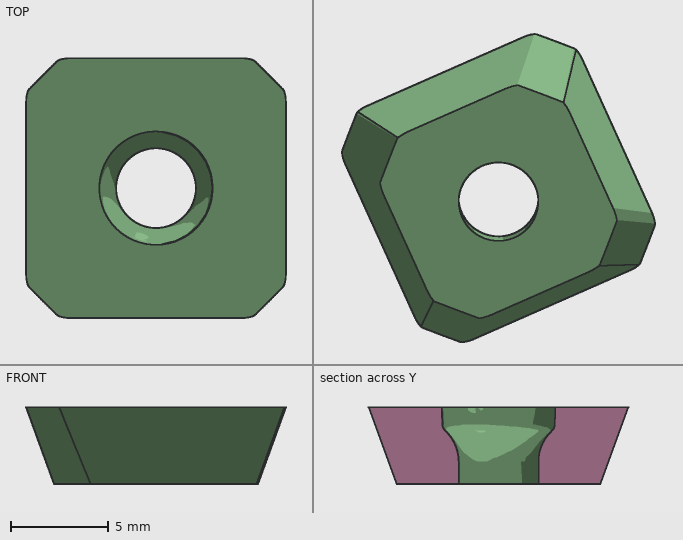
import cadquery as cq
import math

insert_width = 13.4
thickness = 3.97
side_clearance_angle = math.radians(20.0)

facet_distance_top = 8.23
facet_clearance_angle = math.radians(28.7)
facet_half_length_top = 1.03
facet_half_length_bottom = 1.22

strip_angle = math.radians(33.0)
strip_width_top = 0.12
strip_width_bottom = 0.06

blend_reach_top = 0.56
blend_reach_bottom = 0.66

facet_tilt_angle = math.radians(0.3)
wedge_width_bottom = 0.38
wedge_width_top = 0.0

hole_radius = 4.1 / 2
recess_mouth_radius = 5.85 / 2
recess_floor_radius = 5.77 / 2
recess_depth = 0.89
recess_blend_radius = 0.45
seat_radius = 2.15


def tapered_inset(angle):
    """Distance a face leaning in by this angle moves over the full thickness."""
    return thickness * math.tan(angle)


def corner_edges(
    quarter, z, half_width, facet_distance, facet_half_length, strip_width, blend_reach, wedge_width
):
    """Edges of one side and the corner after it, turned by a number of quarter turns.

    Returns the edges in order (side, arc, strip, facet half, wedge base, facet half, strip, arc);
    the wedge base is None where the wedge closes to a point.
    """
    turn_cos = math.cos(quarter * math.pi / 2)
    turn_sin = math.sin(quarter * math.pi / 2)
    diagonal = math.sqrt(2)
    facet_near = (facet_distance - facet_half_length) / diagonal
    facet_far = (facet_distance + facet_half_length) / diagonal
    strip_near = facet_near - strip_width * math.cos(strip_angle)
    strip_far = facet_far + strip_width * math.sin(strip_angle)
    side_end = strip_near - blend_reach

    arc_drop = half_width - strip_far
    arc_radius = (blend_reach**2 + arc_drop**2) / (2 * arc_drop)
    mid_angle = math.asin(blend_reach / arc_radius) / 2
    arc_mid_x = half_width - arc_radius * (1 - math.cos(mid_angle))
    arc_mid_y = side_end + arc_radius * math.sin(mid_angle)

    crown = (facet_half_length - wedge_width / 2) * math.tan(facet_tilt_angle)
    wedge_far = (facet_distance + crown + wedge_width / 2) / diagonal
    wedge_near = (facet_distance + crown - wedge_width / 2) / diagonal

    def point(x, y):
        return cq.Vector(x * turn_cos - y * turn_sin, x * turn_sin + y * turn_cos, z)

    side_start = point(half_width, -side_end)
    first_arc_start = point(half_width, side_end)
    first_arc_mid = point(arc_mid_x, arc_mid_y)
    strip_start = point(strip_far, strip_near)
    facet_start = point(facet_far, facet_near)
    wedge_start = point(wedge_far, wedge_near)
    wedge_end = point(wedge_near, wedge_far)
    facet_end = point(facet_near, facet_far)
    strip_end = point(strip_near, strip_far)
    last_arc_mid = point(arc_mid_y, arc_mid_x)
    last_arc_end = point(side_end, half_width)

    wedge_base = cq.Edge.makeLine(wedge_start, wedge_end) if wedge_width > 0 else None
    return [
        cq.Edge.makeLine(side_start, first_arc_start),
        cq.Edge.makeThreePointArc(first_arc_start, first_arc_mid, strip_start),
        cq.Edge.makeLine(strip_start, facet_start),
        cq.Edge.makeLine(facet_start, wedge_start),
        wedge_base,
        cq.Edge.makeLine(wedge_end, facet_end),
        cq.Edge.makeLine(facet_end, strip_end),
        cq.Edge.makeThreePointArc(strip_end, last_arc_mid, last_arc_end),
    ]


def outline_face(edges):
    return cq.Face.makeFromWires(cq.Wire.assembleEdges(edges))


def wedge_face(base, apex):
    """Triangle from the wedge base up to its apex."""
    return cq.Face.makeFromWires(cq.Wire.makePolygon([base.startPoint(), base.endPoint(), apex], close=True))


def make_body():
    bottom_half_width = insert_width / 2 - tapered_inset(side_clearance_angle)
    facet_distance_bottom = facet_distance_top - tapered_inset(facet_clearance_angle)

    bottom_outline = []
    top_outline = []
    flanks = []
    for quarter in range(4):
        bottom_edges = corner_edges(
            quarter,
            0,
            bottom_half_width,
            facet_distance_bottom,
            facet_half_length_bottom,
            strip_width_bottom,
            blend_reach_bottom,
            wedge_width_bottom,
        )
        top_edges = corner_edges(
            quarter,
            thickness,
            insert_width / 2,
            facet_distance_top,
            facet_half_length_top,
            strip_width_top,
            blend_reach_top,
            wedge_width_top,
        )
        for bottom_edge, top_edge in zip(bottom_edges, top_edges):
            bottom_outline.append(bottom_edge)
            if top_edge is None:
                wedge_apex = top_outline[-1].endPoint()
                flanks.append(wedge_face(bottom_edge, wedge_apex))
            else:
                top_outline.append(top_edge)
                flanks.append(cq.Face.makeRuledSurface(bottom_edge, top_edge))

    shell = cq.Shell.makeShell([outline_face(bottom_outline), outline_face(top_outline)] + flanks)
    return cq.Workplane(cq.Solid.makeSolid(shell).fix())


def make_screw_hole():
    """Through hole with a slightly tapered head recess, a small hollow blend and a bulging round seat."""
    arc_turn = math.acos(1 - (recess_floor_radius - hole_radius) / (recess_blend_radius + seat_radius))

    def arc_offset(radius, angle):
        return radius * (1 - math.cos(angle)), radius * math.sin(angle)

    blend_start_z = thickness - recess_depth
    blend_mid_in, blend_mid_down = arc_offset(recess_blend_radius, arc_turn / 2)
    blend_in, blend_down = arc_offset(recess_blend_radius, arc_turn)
    seat_mid_out, seat_mid_up = arc_offset(seat_radius, arc_turn / 2)
    seat_up = arc_offset(seat_radius, arc_turn)[1]
    seat_end_z = blend_start_z - blend_down - seat_up

    return (
        cq.Workplane("XZ")
        .moveTo(0, 0)
        .lineTo(0, thickness)
        .lineTo(recess_mouth_radius, thickness)
        .lineTo(recess_floor_radius, blend_start_z)
        .threePointArc(
            (recess_floor_radius - blend_mid_in, blend_start_z - blend_mid_down),
            (recess_floor_radius - blend_in, blend_start_z - blend_down),
        )
        .threePointArc((hole_radius + seat_mid_out, seat_end_z + seat_mid_up), (hole_radius, seat_end_z))
        .lineTo(hole_radius, 0)
        .close()
        .revolve(360, (0, 0, 0), (0, 1, 0))
    )


result = make_body().cut(make_screw_hole()).solids()